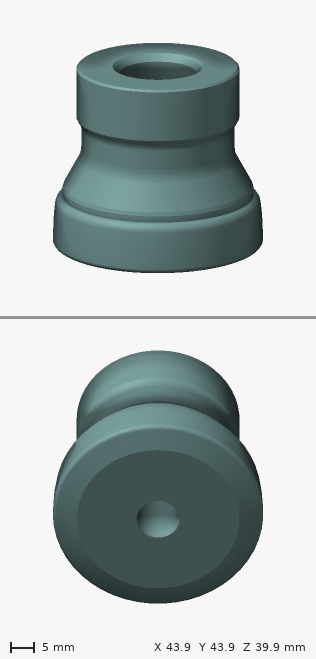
import cadquery as cq

TOTAL_HEIGHT = 39.85
PAD_HEIGHT = 11.95
LAND_TOP = 13.25
CONE_BOTTOM = 14.05
CONE_TOP = 19.8
NECK_BOTTOM = 22.25
NECK_TOP = 26.55
UNDERCUT_TOP = 28.1
HEAD_BOTTOM = 28.8

HEAD_RADIUS = 34.0 / 2
HEAD_CHAMFER = 0.45
HEAD_LOWER_CHAMFER = 0.4
NECK_RADIUS = 32.0 / 2
BASE_RADIUS = 19.97
CONE_TOP_RADIUS = 16.6
CONE_BOTTOM_RADIUS = 19.7

BORE_RADIUS = 16.02 / 2
BORE_MOUTH_RADIUS = 9.5
BORE_FLOOR = 14.93
BORE_FLOOR_CHAMFER = 0.53
THROUGH_RADIUS = 9.0 / 2

PAD_RADIUS = 21.95
PAD_FLAT_RADIUS = 16.95
PAD_EDGE_START_RADIUS = 21.2
PAD_EDGE_BOTTOM = 1.27
PAD_EDGE_TOP = 2.3
PAD_SIDE_MIDDLE_RADIUS = 21.8
PAD_SHOULDER_RADIUS = 21.42
PAD_SHOULDER_BOTTOM = 10.2


def tangent_arc_radius(height, width):
    """Radius of an arc that leaves a vertical wall tangentially and spans height by width."""
    return (height**2 + width**2) / (2 * width)


def revolve_profile(profile):
    """Revolve a closed (radius, height) profile about the Z axis."""
    return profile.close().revolve(360, (0, 0, 0), (0, 1, 0))


def build_housing():
    """Collared housing with a counterbored through hole."""
    undercut_radius = tangent_arc_radius(
        UNDERCUT_TOP - NECK_TOP, HEAD_RADIUS - HEAD_LOWER_CHAMFER - NECK_RADIUS
    )
    flare_radius = tangent_arc_radius(NECK_BOTTOM - CONE_TOP, CONE_TOP_RADIUS - NECK_RADIUS)
    mouth_depth = BORE_MOUTH_RADIUS - BORE_RADIUS
    profile = (
        cq.Workplane("XZ")
        .moveTo(THROUGH_RADIUS, PAD_HEIGHT)
        .lineTo(BASE_RADIUS, PAD_HEIGHT)
        .lineTo(BASE_RADIUS, LAND_TOP)
        .lineTo(CONE_BOTTOM_RADIUS, CONE_BOTTOM)
        .lineTo(CONE_TOP_RADIUS, CONE_TOP)
        .radiusArc((NECK_RADIUS, NECK_BOTTOM), flare_radius)
        .lineTo(NECK_RADIUS, NECK_TOP)
        .radiusArc((HEAD_RADIUS - HEAD_LOWER_CHAMFER, UNDERCUT_TOP), undercut_radius)
        .lineTo(HEAD_RADIUS, HEAD_BOTTOM)
        .lineTo(HEAD_RADIUS, TOTAL_HEIGHT - HEAD_CHAMFER)
        .lineTo(HEAD_RADIUS - HEAD_CHAMFER, TOTAL_HEIGHT)
        .lineTo(BORE_MOUTH_RADIUS, TOTAL_HEIGHT)
        .lineTo(BORE_RADIUS, TOTAL_HEIGHT - mouth_depth)
        .lineTo(BORE_RADIUS, BORE_FLOOR + BORE_FLOOR_CHAMFER)
        .lineTo(BORE_RADIUS - BORE_FLOOR_CHAMFER, BORE_FLOOR)
        .lineTo(THROUGH_RADIUS, BORE_FLOOR)
    )
    return revolve_profile(profile)


def build_foot_pad():
    """Rounded pad under the housing, pierced by the same through hole."""
    side_middle = (PAD_SIDE_MIDDLE_RADIUS, (PAD_EDGE_TOP + PAD_SHOULDER_BOTTOM) / 2)
    profile = (
        cq.Workplane("XZ")
        .moveTo(THROUGH_RADIUS, 0)
        .lineTo(PAD_FLAT_RADIUS, 0)
        .lineTo(PAD_EDGE_START_RADIUS, PAD_EDGE_BOTTOM)
        .tangentArcPoint((PAD_RADIUS, PAD_EDGE_TOP), relative=False)
        .threePointArc(side_middle, (PAD_SHOULDER_RADIUS, PAD_SHOULDER_BOTTOM))
        .tangentArcPoint((BASE_RADIUS, PAD_HEIGHT), relative=False)
        .lineTo(THROUGH_RADIUS, PAD_HEIGHT)
    )
    return revolve_profile(profile)


housing = build_housing()
foot_pad = build_foot_pad()
result = cq.Compound.makeCompound([housing.val(), foot_pad.val()])